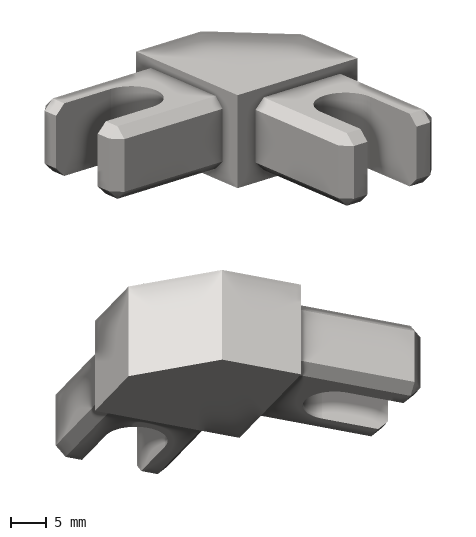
import cadquery as cq

overall_size = 41.5
body_side = 22.0
body_height = 14.0
corner_cut = 10.0
arm_width = 17.0
arm_height = 10.9
arm_bevel = 1.5
arm_axis_offset = 10.2
slot_width = 9.0
slot_wall = 5.0

arm_length = overall_size - body_side
slot_radius = slot_width / 2


def make_body():
    """Square block with its outer vertical corner (at the origin) cut off."""
    block = cq.Workplane("XY").box(body_side, body_side, body_height, centered=(False, False, True))
    return block.edges("|Z and <X and <Y").chamfer(corner_cut)


def make_arm():
    """Forked arm along +X, rooted on the YZ plane and centred on the X axis."""
    arm = (
        cq.Workplane("XY")
        .box(arm_length, arm_width, arm_height, centered=(False, True, True))
        .edges("not <X")
        .chamfer(arm_bevel)
    )
    slot_centre = slot_wall + slot_radius
    slot_end = (
        cq.Workplane("XY")
        .center(slot_centre, 0)
        .circle(slot_radius)
        .extrude(arm_height / 2, both=True)
    )
    slot_mouth = (
        cq.Workplane("XY")
        .box(arm_length - slot_centre, slot_width, arm_height, centered=(False, True, True))
        .translate((slot_centre, 0, 0))
    )
    return arm.cut(slot_end).cut(slot_mouth)


body = make_body().mirror("XZ")
arm_along_x = make_arm().translate((body_side, -arm_axis_offset, 0))
arm_along_y = (
    make_arm()
    .rotate((0, 0, 0), (0, 0, 1), -90)
    .translate((arm_axis_offset, -body_side, 0))
)

result = body.union(arm_along_x).union(arm_along_y)